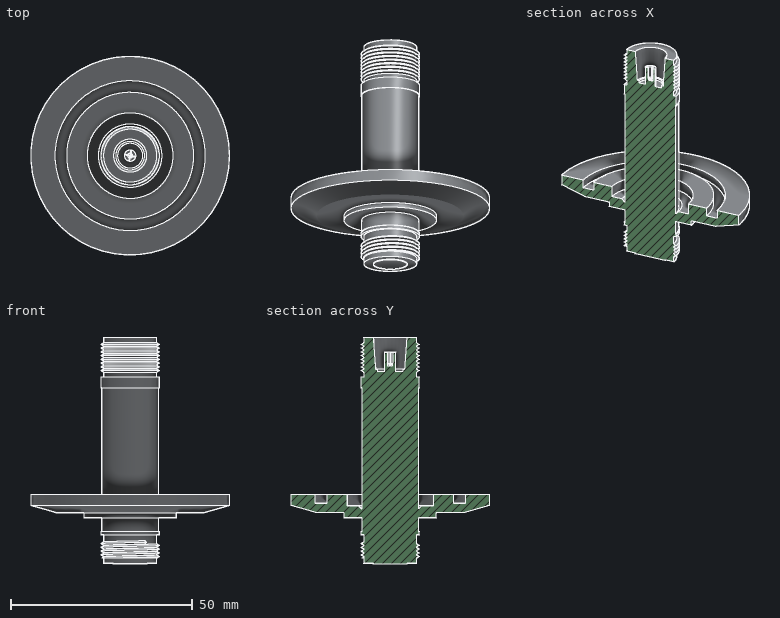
import cadquery as cq

TOTAL_HEIGHT = 62.5
BODY_BOTTOM = 0.2
LOWER_COLLAR_BOTTOM = 8.05
LOWER_COLLAR_TOP = 9.0
BOSS_BOTTOM = 12.75
FLANGE_BOTTOM = 14.05
FLANGE_RIM_BOTTOM = 16.1
FLANGE_TOP = 19.2
UPPER_COLLAR_BOTTOM = 48.55
UPPER_COLLAR_TOP = 51.55

TUBE_RADIUS = 7.9
COLLAR_RADIUS = 8.05
NECK_RADIUS = 7.3
BOSS_RADIUS = 12.75
END_DISC_RADIUS = 4.7
FLANGE_DIAMETER = 54.8
FLANGE_RADIUS = FLANGE_DIAMETER / 2
FLANGE_BASE_RADIUS = 20.2

GROOVE_DEPTH = 2.4
RECESS_DEPTH = 3.05
GROOVE_FLOOR = FLANGE_TOP - GROOVE_DEPTH
RECESS_FLOOR = FLANGE_TOP - RECESS_DEPTH
OUTER_GROOVE_RADIUS = 20.7
RING_OUTER_RADIUS = 17.5
RING_INNER_RADIUS = 11.8
TUBE_CHAMFER_RADIUS = 8.75
TUBE_CHAMFER_DEPTH = TUBE_CHAMFER_RADIUS - TUBE_RADIUS

SOCKET_MOUTH_RADIUS = 4.55
SOCKET_SHELF_RADIUS = 3.95
SOCKET_SHELF_DEPTH = 8.75
SOCKET_FLOOR_RADIUS = 3.45
SOCKET_FLOOR_DEPTH = 9.4

PIN_RADIUS = 1.55
PIN_TIP_DEPTH = 4.05
PIN_BORE_RADIUS = 0.7
PIN_BORE_DEPTH = 3.1
PIN_SLOT_DEPTH = PIN_BORE_DEPTH + PIN_BORE_RADIUS
PIN_SLOT_WIDTH = 0.25
PIN_SLOT_ANGLE = -12.0

RIDGE_WIDTH = 0.95
THREAD_RADIUS = COLLAR_RADIUS
THREAD_OVERLAP = 0.1
UPPER_THREAD_TOP = 61.0
UPPER_THREAD_RIDGES = 8
UPPER_THREAD_LENGTH = 8.25
THREAD_PITCH = UPPER_THREAD_LENGTH / UPPER_THREAD_RIDGES
LOWER_THREAD_START = 1.25
LOWER_THREAD_BOTTOM = 1.7
LOWER_THREAD_START_ANGLE = 90.0
LOWER_THREAD_END_ANGLE = 304.0
LOWER_THREAD_FULL_TURNS = 4
TRIM_MARGIN = 0.6


def cylinder(radius, bottom, top):
    return cq.Workplane("XY").workplane(offset=bottom).circle(radius).extrude(top - bottom)


def ring(outer_radius, inner_radius, bottom, top):
    return cylinder(outer_radius, bottom, top).cut(cylinder(inner_radius, bottom, top))


def revolve_outline(points):
    """Turn a closed (radius, height) outline about the Z axis."""
    return cq.Workplane("XZ").polyline(points).close().revolve(360, (0, 0, 0), (0, 1, 0))


def make_body():
    outline = [
        (0, BODY_BOTTOM),
        (NECK_RADIUS, BODY_BOTTOM),
        (NECK_RADIUS, LOWER_COLLAR_BOTTOM),
        (COLLAR_RADIUS, LOWER_COLLAR_BOTTOM),
        (COLLAR_RADIUS, LOWER_COLLAR_TOP),
        (TUBE_RADIUS, LOWER_COLLAR_TOP),
        (TUBE_RADIUS, BOSS_BOTTOM),
        (BOSS_RADIUS, BOSS_BOTTOM),
        (BOSS_RADIUS, FLANGE_BOTTOM),
        (FLANGE_BASE_RADIUS, FLANGE_BOTTOM),
        (FLANGE_RADIUS, FLANGE_RIM_BOTTOM),
        (FLANGE_RADIUS, FLANGE_TOP),
        (TUBE_RADIUS, FLANGE_TOP),
        (TUBE_RADIUS, UPPER_COLLAR_BOTTOM),
        (COLLAR_RADIUS, UPPER_COLLAR_BOTTOM),
        (COLLAR_RADIUS, UPPER_COLLAR_TOP),
        (NECK_RADIUS, UPPER_COLLAR_TOP),
        (NECK_RADIUS, TOTAL_HEIGHT),
        (0, TOTAL_HEIGHT),
    ]
    end_disc = cylinder(END_DISC_RADIUS, 0, BODY_BOTTOM)
    return revolve_outline(outline).union(end_disc)


def make_flange_recesses():
    """Outer groove, inner recess around the tube, and the chamfer at the tube's foot."""
    outer_groove = ring(OUTER_GROOVE_RADIUS, RING_OUTER_RADIUS, GROOVE_FLOOR, FLANGE_TOP)
    inner_recess = ring(RING_INNER_RADIUS, TUBE_RADIUS, RECESS_FLOOR, FLANGE_TOP)
    chamfer = revolve_outline([
        (TUBE_RADIUS, RECESS_FLOOR),
        (TUBE_CHAMFER_RADIUS, RECESS_FLOOR),
        (TUBE_RADIUS, RECESS_FLOOR - TUBE_CHAMFER_DEPTH),
    ])
    return outer_groove.union(inner_recess).union(chamfer)


def make_socket():
    return revolve_outline([
        (0, TOTAL_HEIGHT),
        (SOCKET_MOUTH_RADIUS, TOTAL_HEIGHT),
        (SOCKET_SHELF_RADIUS, TOTAL_HEIGHT - SOCKET_SHELF_DEPTH),
        (SOCKET_FLOOR_RADIUS, TOTAL_HEIGHT - SOCKET_SHELF_DEPTH),
        (SOCKET_FLOOR_RADIUS, TOTAL_HEIGHT - SOCKET_FLOOR_DEPTH),
        (0, TOTAL_HEIGHT - SOCKET_FLOOR_DEPTH),
    ])


def make_pin():
    """Hollow contact pin with two crossing slots that split its tip into four."""
    tip = TOTAL_HEIGHT - PIN_TIP_DEPTH
    slot_bottom = tip - PIN_SLOT_DEPTH
    bore = revolve_outline([
        (0, tip),
        (PIN_BORE_RADIUS, tip),
        (PIN_BORE_RADIUS, tip - PIN_BORE_DEPTH),
        (0, slot_bottom),
    ])
    pin = cylinder(PIN_RADIUS, TOTAL_HEIGHT - SOCKET_FLOOR_DEPTH, tip).cut(bore)
    for angle in (PIN_SLOT_ANGLE, PIN_SLOT_ANGLE + 90):
        slot = cq.Workplane("XY").workplane(offset=slot_bottom)
        slot = slot.rect(2 * PIN_RADIUS, PIN_SLOT_WIDTH).extrude(PIN_SLOT_DEPTH)
        pin = pin.cut(slot.rotate((0, 0, 0), (0, 0, 1), angle))
    return pin


def make_upper_thread():
    """Row of equal V-shaped ridges around the upper neck."""
    core_radius = NECK_RADIUS - THREAD_OVERLAP
    outline = [(core_radius, UPPER_THREAD_TOP)]
    for ridge in range(UPPER_THREAD_RIDGES):
        ridge_top = UPPER_THREAD_TOP - ridge * THREAD_PITCH
        outline.append((NECK_RADIUS, ridge_top))
        outline.append((THREAD_RADIUS, ridge_top - RIDGE_WIDTH / 2))
        outline.append((NECK_RADIUS, ridge_top - RIDGE_WIDTH))
    outline.append((core_radius, ridge_top - RIDGE_WIDTH))
    return revolve_outline(outline)


def make_lower_thread():
    """Right-handed V thread, trimmed flat where it runs out at its lower end."""
    sweep_angle = LOWER_THREAD_END_ANGLE - LOWER_THREAD_START_ANGLE
    turns = LOWER_THREAD_FULL_TURNS + sweep_angle / 360
    helix = cq.Wire.makeHelix(THREAD_PITCH, turns * THREAD_PITCH, NECK_RADIUS)
    flank_slope = (RIDGE_WIDTH / 2) / (THREAD_RADIUS - NECK_RADIUS)
    root_radius = NECK_RADIUS - THREAD_OVERLAP
    root_half = flank_slope * (THREAD_RADIUS - root_radius)
    profile = cq.Workplane("XZ").polyline([
        (root_radius, -root_half),
        (THREAD_RADIUS, 0),
        (root_radius, root_half),
    ]).close()
    thread = profile.sweep(cq.Workplane(helix), isFrenet=True)
    thread = thread.rotate((0, 0, 0), (0, 0, 1), LOWER_THREAD_START_ANGLE)
    thread = thread.translate((0, 0, LOWER_THREAD_START))
    return thread.cut(cylinder(THREAD_RADIUS + TRIM_MARGIN, 0, LOWER_THREAD_BOTTOM))


result = make_body().cut(make_flange_recesses()).cut(make_socket())
result = result.union(make_pin())
result = result.union(make_upper_thread())
result = result.union(make_lower_thread())